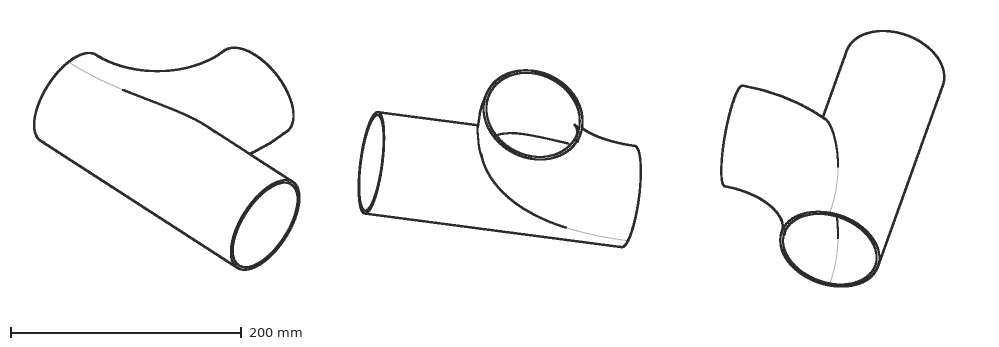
import cadquery as cq

outer_diameter = 88.9
inner_diameter = 83.7
run_length = 230.0
bend_radius = 115.0
bend_angle = 90.0


def ring_profile():
    """Tube cross-section in the shared end plane X = 0."""
    return cq.Workplane("YZ").circle(outer_diameter / 2).circle(inner_diameter / 2)


def run_tube():
    """Straight tube along X."""
    return ring_profile().extrude(run_length)


def elbow_tube():
    """Tube bend that starts along +X and ends facing +Y."""
    return ring_profile().revolve(bend_angle, (bend_radius, 0, 0), (bend_radius, 1, 0))


def elbow_region():
    """
    Upright block holding everything on the elbow side of the joint.

    Equal tubes that start at the same ring meet where x^2 = 4 * bend_radius * y, whatever
    their diameter, so one parabola is the joint of the outer walls and of the bores.
    A quadratic Bezier curve draws that parabola exactly, from its vertex at the origin
    up to the height of the elbow's end face.
    """
    vertex = (0, 0)
    tangent_point = (bend_radius, 0)
    far_end = (2 * bend_radius, bend_radius)
    return (
        cq.Workplane("XY")
        .bezier([vertex, tangent_point, far_end])
        .lineTo(0, bend_radius)
        .close()
        .extrude(outer_diameter, both=True)
    )


joint_block = elbow_region()
trimmed_run = run_tube().cut(joint_block)
trimmed_elbow = elbow_tube().intersect(joint_block)

result = trimmed_run.union(trimmed_elbow)